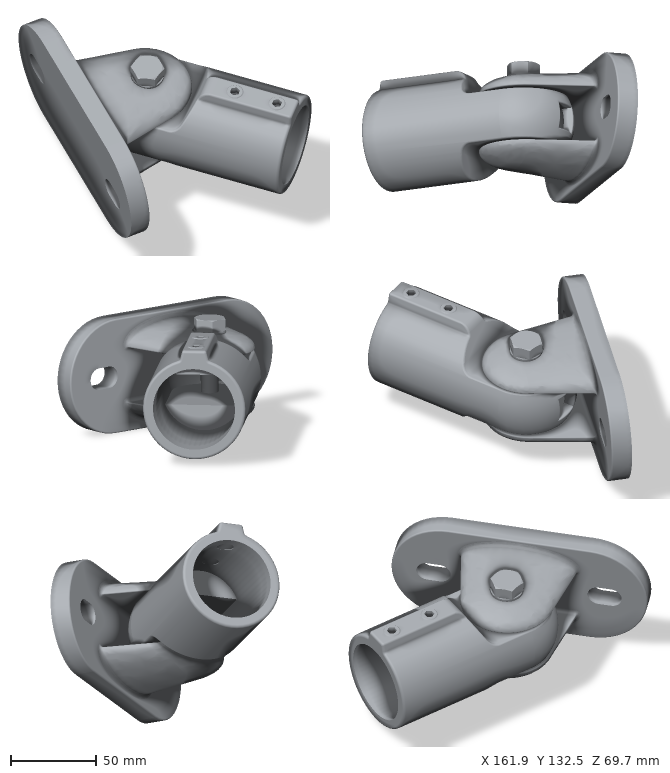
import cadquery as cq
import math


plate_length = 153.0
plate_height = 68.3
plate_thickness = 12.1
plate_edge_radius = 1.0
slot_spacing = 102.3
slot_length = 20.4
slot_width = 13.0

pivot_y = 47.1
socket_angle = 45
shank_radius = 5.0

ear_inner_z = 16.3
ear_base_half_width = 34.8
ear_dome_radius = 27.5
ear_dome_y = 45.5
ear_wall_height = 0.8
ear_inner_fillet = 0.6
ear_flatness = 0.38
ear_root_fillet = 2.3

tube_radius = 30.1
bore_radius = 24.1
tube_length = 91.6
tube_end_fillet = 1.6
tongue_half_height = 15.0
tongue_wall = tube_radius - bore_radius
shoulder_start = 21.5
shoulder_slope = math.radians(62)
shoulder_blend_radius = 8.1
shoulder_edge_fillet = 1.3
window_width = 15.2
window_edge_fillet = 0.6

rib_top_z = 35.0
rib_top_half_width = 7.0
rib_draft = math.radians(14)
rib_top_fillet = 1.5
rib_root_fillet = 1.6
rib_foot_half_width = rib_top_half_width + (rib_top_z - bore_radius) * math.tan(rib_draft)

blend_run = shoulder_blend_radius * math.sin(shoulder_slope)
blend_rise = shoulder_blend_radius * (1 - math.cos(shoulder_slope))
shoulder_face_height = rib_top_z - tongue_half_height - 2 * blend_rise
shoulder_end = shoulder_start + 2 * blend_run + shoulder_face_height / math.tan(shoulder_slope)

screw_radius = 5.0
screw_top_z = 35.5
screw_chamfer = 0.5
screw_positions = (54.2, 80.3)
screw_hex_size = 5.2
screw_hex_depth = 4.9

head_across_flats = 17.2
head_top_z = 35.3
head_chamfer_angle = math.radians(30)
washer_radius = 9.5
spot_face_radius = 10.0
washer_bottom_z = 26.5
washer_thickness = 1.6
bolt_tip_z = -21.9
washer_top_z = washer_bottom_z + washer_thickness
hex_half_angle = math.radians(30)

cut_clearance = 8.1
box_margin = 0.08


def cylinder_z(radius, bottom, top, x=0, y=0):
    """Cylinder parallel to Z between two heights."""
    return cq.Workplane("XY", origin=(x, y, bottom)).circle(radius).extrude(top - bottom)


def mirrored(point):
    """The point on the other side of the mid plane Z = 0."""
    return (point[0], point[1], -point[2])


def edges_within(corner, opposite_corner):
    """Selector for edges whose centres lie in the box between two corners."""
    low = [min(pair) - box_margin for pair in zip(corner, opposite_corner)]
    high = [max(pair) + box_margin for pair in zip(corner, opposite_corner)]
    return cq.selectors.BoxSelector(low, high)


def make_plate():
    """Stadium-shaped plate standing on its mounting face at Y = 0."""
    plate = (
        cq.Workplane("XZ")
        .slot2D(plate_length, plate_height)
        .extrude(-plate_thickness)
        .faces(">Y")
        .edges()
        .fillet(plate_edge_radius)
    )
    slots = (
        cq.Workplane("XZ")
        .pushPoints([(-slot_spacing / 2, 0), (slot_spacing / 2, 0)])
        .slot2D(slot_length, slot_width)
        .extrude(-plate_thickness)
    )
    return plate.cut(slots)


def make_ear():
    """Upper ear: a thin wall of tapered, domed outline under a surface of half-elliptical sections."""
    tip_y = ear_dome_y + ear_dome_radius
    base_drop = ear_dome_y - plate_thickness
    base_distance = math.hypot(ear_base_half_width, base_drop)
    base_angle = math.atan2(-base_drop, ear_base_half_width)
    tangent_angle = base_angle + math.acos(ear_dome_radius / base_distance)
    tangent_x = ear_dome_radius * math.cos(tangent_angle)
    tangent_y = ear_dome_y + ear_dome_radius * math.sin(tangent_angle)
    half_outline = (
        cq.Workplane("XY")
        .moveTo(0, plate_thickness)
        .lineTo(ear_base_half_width, plate_thickness)
        .lineTo(tangent_x, tangent_y)
        .radiusArc((0, tip_y), -ear_dome_radius)
        .close()
    )
    half_wall = half_outline.extrude(ear_wall_height)
    wall = half_wall.union(half_wall.mirror("YZ"))
    wall = wall.faces("<Z").edges("not(|X)").fillet(ear_inner_fillet)
    round_body = half_outline.toPending().revolve(180, (0, 0, 0), (0, -1, 0))
    flatten = cq.Matrix([[1, 0, 0, 0], [0, 1, 0, 0], [0, 0, ear_flatness, 0]])
    crown = cq.Workplane(round_body.val().transformGeometry(flatten))
    return wall.union(crown.translate((0, 0, ear_wall_height))).translate((0, 0, ear_inner_z))


def make_base():
    """Plate with two mirrored ears, drilled for the bolt and spot-faced for the washer."""
    upper_ear = make_ear()
    base = make_plate().union(upper_ear).union(upper_ear.mirror("XY"))
    inner_corner = (-ear_base_half_width, plate_thickness, ear_inner_z)
    outer_corner = (ear_base_half_width, plate_thickness, plate_height / 2)
    upper_root = edges_within(inner_corner, outer_corner)
    lower_root = edges_within(mirrored(inner_corner), mirrored(outer_corner))
    base = base.edges(upper_root + lower_root).fillet(ear_root_fillet)
    shank_hole = cylinder_z(shank_radius, bolt_tip_z, head_top_z, 0, pivot_y)
    spot_face = cylinder_z(spot_face_radius, washer_bottom_z, head_top_z, 0, pivot_y)
    return base.cut(shank_hole).cut(spot_face)


def place_on_pivot(shape):
    """Turn a shape built along +X about the origin to the socket angle and move it to the pivot."""
    return shape.rotate((0, 0, 0), (0, 0, 1), socket_angle).translate((0, pivot_y, 0))


def make_rib():
    """Drafted rib along the top of the tube."""
    return (
        cq.Workplane("YZ")
        .polyline(
            [
                (-rib_foot_half_width, bore_radius),
                (rib_foot_half_width, bore_radius),
                (rib_top_half_width, rib_top_z),
                (-rib_top_half_width, rib_top_z),
            ]
        )
        .close()
        .extrude(tube_length)
        .edges("|X and >Z")
        .fillet(rib_top_fillet)
    )


def make_shoulder_cutter():
    """Space above the tongue: flat, concave blend, sloping face and convex blend up to the rib top."""
    half_run = shoulder_blend_radius * math.sin(shoulder_slope / 2)
    half_rise = shoulder_blend_radius * (1 - math.cos(shoulder_slope / 2))
    face_bottom = (shoulder_start + blend_run, tongue_half_height + blend_rise)
    face_top = (shoulder_end - blend_run, rib_top_z - blend_rise)
    return (
        cq.Workplane("XZ")
        .moveTo(-tube_radius - cut_clearance, tongue_half_height)
        .lineTo(shoulder_start, tongue_half_height)
        .threePointArc((shoulder_start + half_run, tongue_half_height + half_rise), face_bottom)
        .lineTo(*face_top)
        .threePointArc((shoulder_end - half_run, rib_top_z - half_rise), (shoulder_end, rib_top_z))
        .lineTo(shoulder_end, rib_top_z + cut_clearance)
        .lineTo(-tube_radius - cut_clearance, rib_top_z + cut_clearance)
        .close()
        .extrude(tube_radius + cut_clearance, both=True)
    )


def make_socket_cavity():
    """Bore with a round end about the pivot, kept narrow between the tongue cheeks, and its window."""
    bore = (
        cq.Workplane("YZ")
        .circle(bore_radius)
        .extrude(tube_length)
        .union(cq.Workplane("XY").sphere(bore_radius))
    )
    narrow_height = 2 * (tongue_half_height - tongue_wall)
    cheek_end = shoulder_start + 2 * shoulder_blend_radius
    narrow_zone = cq.Workplane("XY").box(2 * cheek_end, 2 * tube_radius, narrow_height)
    wide_zone = cq.Workplane("XY", origin=(cheek_end, 0, 0)).box(
        tube_length, 2 * tube_radius, 2 * tube_radius, centered=(False, True, True)
    )
    window = cq.Workplane("YZ").rect(window_width, window_width).extrude(-tube_radius)
    return bore.intersect(narrow_zone.union(wide_zone)).union(window)


def make_tube():
    """Solid round tube body with a spherical end about the pivot."""
    return (
        cq.Workplane("XZ")
        .moveTo(-tube_radius, 0)
        .radiusArc((0, tube_radius), tube_radius)
        .lineTo(tube_length, tube_radius)
        .lineTo(tube_length, 0)
        .close()
        .revolve(360, (0, 0, 0), (1, 0, 0))
    )


def make_socket():
    """Tube with its screw rib, cut down to a tongue at the pivot and hollowed for a pipe."""
    body = make_tube().union(make_rib())
    rib_foot = edges_within(
        (0, -rib_foot_half_width, bore_radius),
        (tube_length, rib_foot_half_width, tube_radius),
    )
    along_x = cq.selectors.ParallelDirSelector(cq.Vector(1, 0, 0))
    body = body.edges(along_x & rib_foot).fillet(rib_root_fillet)
    body = body.faces(">X").edges().fillet(tube_end_fillet)

    upper_cutter = make_shoulder_cutter()
    body = body.cut(upper_cutter).cut(upper_cutter.mirror("XY"))
    inner_corner = (-tube_radius, -tube_radius, tongue_half_height)
    outer_corner = (shoulder_end, tube_radius, rib_top_z)
    across = cq.selectors.ParallelDirSelector(cq.Vector(0, 1, 0))
    body = body.edges(edges_within(inner_corner, outer_corner) - across).fillet(shoulder_edge_fillet)
    lower_edges = edges_within(mirrored(inner_corner), mirrored(outer_corner))
    body = body.edges(lower_edges - across).fillet(shoulder_edge_fillet)

    body = body.cut(make_socket_cavity())
    half_window = window_width / 2
    window_mouth = edges_within(
        ((-tube_radius - bore_radius) / 2, -half_window, -half_window),
        (-tube_radius, half_window, half_window),
    )
    body = body.edges(window_mouth).fillet(window_edge_fillet)
    body = body.cut(cylinder_z(shank_radius, -tube_radius, tube_radius))
    for position in screw_positions:
        body = body.cut(cylinder_z(screw_radius, 0, screw_top_z, position))
    return place_on_pivot(body)


def make_bolt():
    """Hexagon bolt with corners on the X axis and a chamfered head."""
    corner_diameter = head_across_flats / math.cos(hex_half_angle)
    head = (
        cq.Workplane("XY", origin=(0, 0, washer_top_z))
        .polygon(6, corner_diameter)
        .extrude(head_top_z - washer_top_z)
    )
    flat_radius = head_across_flats / 2
    corner_radius = corner_diameter / 2
    chamfer_drop = (corner_radius - flat_radius) * math.tan(head_chamfer_angle)
    chamfer_envelope = (
        cq.Workplane("XZ")
        .moveTo(0, washer_top_z)
        .lineTo(corner_radius, washer_top_z)
        .lineTo(corner_radius, head_top_z - chamfer_drop)
        .lineTo(flat_radius, head_top_z)
        .lineTo(0, head_top_z)
        .close()
        .revolve(360, (0, 0, 0), (0, 1, 0))
    )
    shank = cylinder_z(shank_radius, bolt_tip_z, washer_top_z)
    return head.intersect(chamfer_envelope).union(shank).translate((0, pivot_y, 0))


def make_washer():
    """Flat washer seated in the spot face under the bolt head."""
    washer = cylinder_z(washer_radius, washer_bottom_z, washer_top_z)
    return washer.cut(cylinder_z(shank_radius, washer_bottom_z, washer_top_z)).translate((0, pivot_y, 0))


def make_set_screw(position):
    """Socket set screw reaching from just above the rib down to the bore."""
    screw = cylinder_z(screw_radius, bore_radius, screw_top_z).faces(">Z").chamfer(screw_chamfer)
    hexagon = (
        cq.Workplane("XY", origin=(0, 0, screw_top_z))
        .polygon(6, screw_hex_size / math.cos(hex_half_angle))
        .extrude(-screw_hex_depth)
        .rotate((0, 0, 0), (0, 0, 1), 90)
    )
    return place_on_pivot(screw.cut(hexagon).translate((position, 0, 0)))


base = make_base()
socket = make_socket()
bolt = make_bolt()
washer = make_washer()
set_screws = [make_set_screw(position) for position in screw_positions]

result = cq.Compound.makeCompound(
    [base.val(), socket.val(), bolt.val(), washer.val(), *[screw.val() for screw in set_screws]]
)